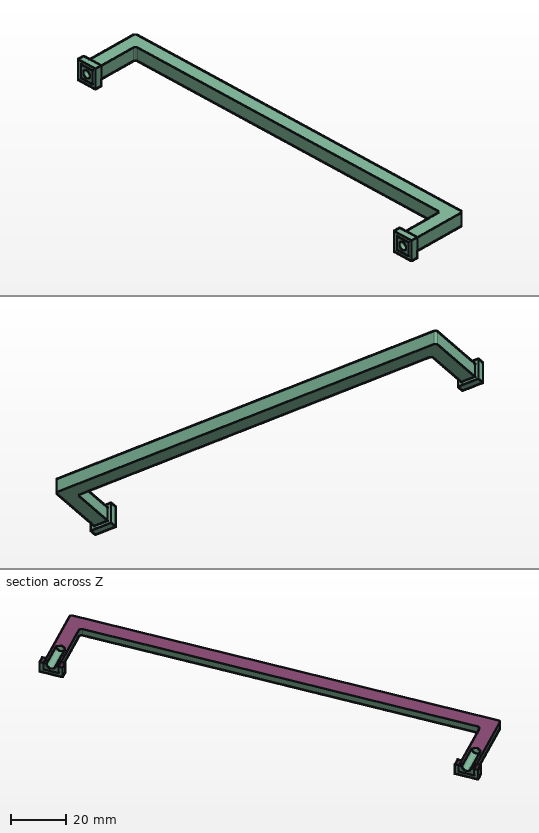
import cadquery as cq
import math

overall_length = 169.0
overall_depth = 28.0
collar_side = 9.0
collar_thickness = 3.0
bar_side = 5.9
outer_corner_radius = 1.0
inner_corner_radius = 1.0
hole_diameter = 3.4
hole_depth = 10.1
drill_point_angle = 118.0

leg_pitch = overall_length - collar_side
leg_positions = [-leg_pitch / 2, leg_pitch / 2]
handle_length = leg_pitch + bar_side
inner_length = leg_pitch - bar_side
leg_length = overall_depth - bar_side


def make_screw_hole(leg_x):
    """Blind drilled hole with a conical bottom, entering the leg from its mounting face."""
    radius = hole_diameter / 2
    point_depth = radius / math.tan(math.radians(drill_point_angle / 2))
    return (
        cq.Workplane("XY")
        .polyline([(0, 0), (radius, 0), (radius, hole_depth), (0, hole_depth + point_depth)])
        .close()
        .revolve(360, (0, 0, 0), (0, 1, 0))
        .translate((leg_x, 0, 0))
    )


def make_handle():
    """Square-section U handle with rounded corners and a screw hole in each leg."""
    outer = (
        cq.Workplane("XY")
        .box(handle_length, overall_depth, bar_side, centered=(True, False, True))
        .edges("|Z and >Y")
        .fillet(outer_corner_radius)
    )
    opening = (
        cq.Workplane("XY")
        .box(inner_length, leg_length, bar_side, centered=(True, False, True))
        .edges("|Z and >Y")
        .fillet(inner_corner_radius)
    )
    handle = outer.cut(opening)
    for leg_x in leg_positions:
        handle = handle.cut(make_screw_hole(leg_x))
    return handle


def make_collar(leg_x):
    """Square collar around the foot of a leg, flush with the mounting face."""
    plate = cq.Workplane("XY").box(
        collar_side, collar_thickness, collar_side, centered=(True, False, True)
    )
    leg_opening = cq.Workplane("XY").box(
        bar_side, collar_thickness, bar_side, centered=(True, False, True)
    )
    return plate.cut(leg_opening).translate((leg_x, 0, 0))


handle = make_handle()
collars = [make_collar(leg_x) for leg_x in leg_positions]

result = cq.Compound.makeCompound([handle.val(), *[collar.val() for collar in collars]])